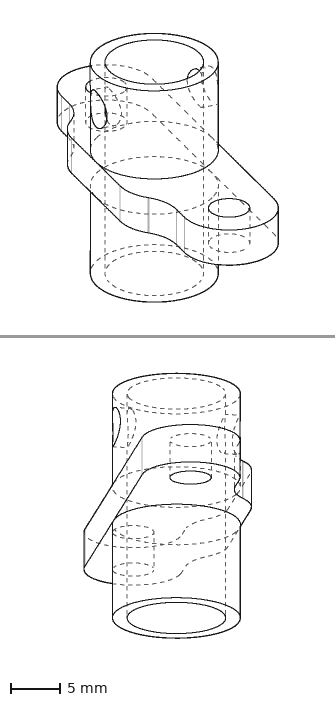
import cadquery as cq

tube_diameter = 13.0
bore_diameter = 10
tube_height = 24
tube_radius = tube_diameter / 2

overall_length = 40
plate_bottom = 10
plate_thickness = 4
ear_radius = 5.0
ear_hole_diameter = 4.2
ear_x = overall_length / 2 - ear_radius
ear_y = tube_radius - ear_radius

belly_half_width = 8
shoulder_radius = 5.0
ear_front_y = ear_y - ear_radius
shoulder_depth = ear_front_y + tube_radius
shoulder_x = belly_half_width + shoulder_depth

cross_hole_diameter = 4
cross_hole_z = 20


def make_plate():
    """Two-eared plate with a belly reaching the front of the tube."""
    plate = (
        cq.Workplane("XY")
        .workplane(offset=plate_bottom)
        .moveTo(-ear_x, tube_radius)
        .lineTo(ear_x, tube_radius)
        .threePointArc((ear_x + ear_radius, ear_y), (ear_x, ear_front_y))
        .lineTo(shoulder_x, ear_front_y)
        .lineTo(belly_half_width, -tube_radius)
        .lineTo(-belly_half_width, -tube_radius)
        .lineTo(-shoulder_x, ear_front_y)
        .lineTo(-ear_x, ear_front_y)
        .threePointArc((-ear_x - ear_radius, ear_y), (-ear_x, tube_radius))
        .close()
        .extrude(plate_thickness)
    )
    shoulder_corners = [
        (side * x, y, plate_bottom + plate_thickness / 2)
        for side in (-1, 1)
        for x, y in ((shoulder_x, ear_front_y), (belly_half_width, -tube_radius))
    ]
    corner_edges = cq.Workplane("XY")
    for corner in shoulder_corners:
        corner_edges = corner_edges.add(plate.edges(cq.NearestToPointSelector(corner)))
    plate = plate.newObject(corner_edges.vals()).fillet(shoulder_radius)
    ear_holes = (
        cq.Workplane("XY")
        .pushPoints([(-ear_x, ear_y), (ear_x, ear_y)])
        .circle(ear_hole_diameter / 2)
        .extrude(tube_height)
    )
    return plate.cut(ear_holes)


tube = cq.Workplane("XY").circle(tube_radius).extrude(tube_height)
bore = cq.Workplane("XY").circle(bore_diameter / 2).extrude(tube_height)
cross_hole = (
    cq.Workplane("XZ")
    .center(0, cross_hole_z)
    .circle(cross_hole_diameter / 2)
    .extrude(tube_diameter, both=True)
)

result = make_plate().union(tube).cut(bore).cut(cross_hole)